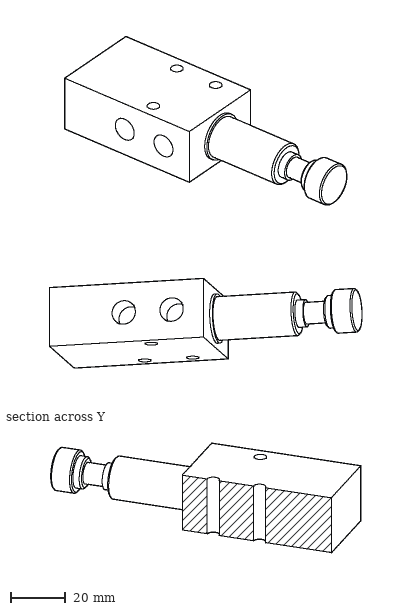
import cadquery as cq

total_length = 111.0

block_length = 58.0
block_width = 36.0
block_height = 22.0

hole_pitch = 9.0
first_hole_x = 28.0
middle_hole_x = first_hole_x + hole_pitch
last_hole_x = middle_hole_x + hole_pitch
mounting_hole_diameter = 4.5
mounting_hole_offset = 12.5
port_diameter = 8.8
port_depth = 10.0

collar_diameter = 18.0
collar_length = 1.0
sleeve_diameter = 16.0
sleeve_length = 30
sleeve_chamfer = 0.7
bush_diameter = 10.0
bush_length = 3.0
stem_diameter = 8.0
stem_length = 7.9
knob_neck_diameter = 12.0
knob_neck_length = 3.1
knob_neck_chamfer = 0.7
knob_diameter = 16.0
knob_chamfer = 0.5

sleeve_start = block_length + collar_length
bush_start = sleeve_start + sleeve_length
stem_start = bush_start + bush_length
knob_start = stem_start + stem_length
knob_head_start = knob_start + knob_neck_length
knob_head_length = total_length - knob_head_start


def axial_cylinder(start, length, diameter):
    """Cylinder on the actuator axis that runs in +X from the given start."""
    return cq.Workplane("YZ", origin=(start, 0, 0)).circle(diameter / 2).extrude(length)


def make_block():
    """Rectangular block with through mounting holes and blind side ports."""
    block = cq.Workplane("XY").box(block_length, block_width, block_height, centered=(False, True, True))

    mounting_holes = (
        cq.Workplane("XY", origin=(0, 0, -block_height / 2))
        .pushPoints([
            (first_hole_x, mounting_hole_offset),
            (last_hole_x, mounting_hole_offset),
            (middle_hole_x, -mounting_hole_offset),
        ])
        .circle(mounting_hole_diameter / 2)
        .extrude(block_height)
    )
    ports = (
        cq.Workplane("XZ", origin=(0, -block_width / 2, 0))
        .pushPoints([(first_hole_x, 0), (last_hole_x, 0)])
        .circle(port_diameter / 2)
        .extrude(-port_depth)
    )
    return block.cut(mounting_holes).cut(ports)


def make_collar():
    """Thin round flange against the end of the block."""
    return axial_cylinder(block_length, collar_length, collar_diameter)


def make_sleeve():
    """Long actuator sleeve with a chamfered outer end."""
    sleeve = axial_cylinder(sleeve_start, sleeve_length, sleeve_diameter)
    return sleeve.faces(">X").chamfer(sleeve_chamfer)


def make_bush():
    """Short round bush between the sleeve and the stem."""
    return axial_cylinder(bush_start, bush_length, bush_diameter)


def make_stem():
    """Plain stem that carries the knob."""
    return axial_cylinder(stem_start, stem_length, stem_diameter)


def make_knob():
    """Push-pull knob: a chamfered neck and a larger head chamfered at both ends."""
    neck = axial_cylinder(knob_start, knob_neck_length, knob_neck_diameter)
    neck = neck.faces("<X").chamfer(knob_neck_chamfer)
    head = axial_cylinder(knob_head_start, knob_head_length, knob_diameter)
    head = head.faces("<X or >X").chamfer(knob_chamfer)
    return neck.union(head)


block = make_block()
collar = make_collar()
sleeve = make_sleeve()
bush = make_bush()
stem = make_stem()
knob = make_knob()

result = cq.Compound.makeCompound([
    block.val(),
    collar.val(),
    sleeve.val(),
    bush.val(),
    stem.val(),
    knob.val(),
])